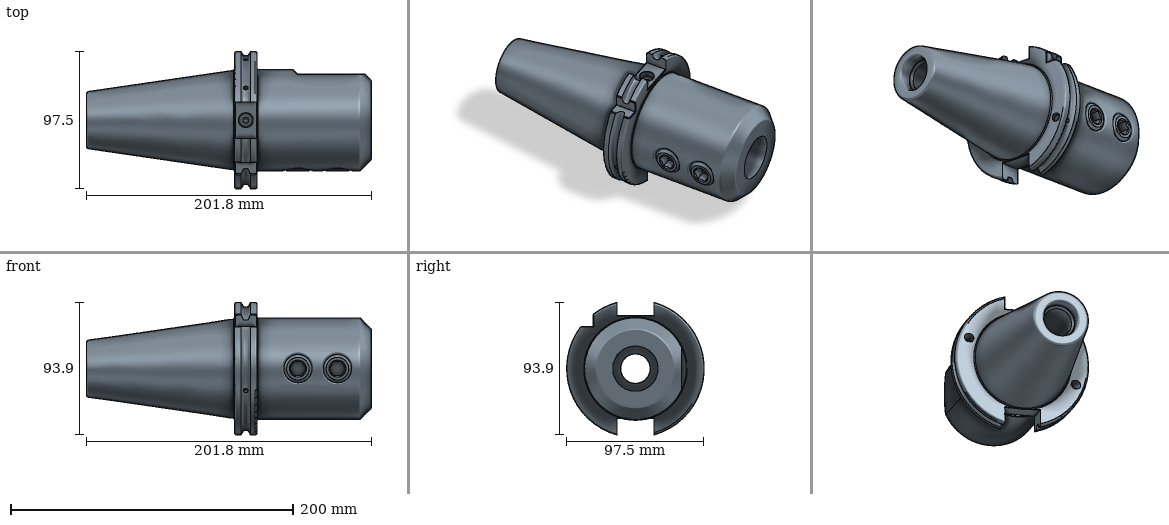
import cadquery as cq
import math


gauge_radius = 69.85 / 2
taper_length = 101.75
taper_slope = 7 / 24 / 2
tail_radius = gauge_radius - taper_length * taper_slope
tail_fillet = 2.0
taper_overrun = 0.5
neck_radius = gauge_radius + taper_overrun * taper_slope
neck_fillet = 0.8

flange_radius = 97.45 / 2
flange_front = 19.1
flange_back = 3.2
rim_fillet = 1.5
groove_center = 11.1
groove_floor_radius = 91.25 / 2
groove_opening = 6.8
groove_flank_angle = 30
groove_fillet = 1.4

keyway_width = 26.0
keyway_top_floor = 37.7
keyway_bottom_floor = 35.3
notch_corner = 30.0
cutout_chamfer = 0.5
chip_pocket_diameter = 10.0
chip_pocket_depth = 4.6
chip_pocket_chamfer = 0.25
chip_pilot_diameter = 4.0
chip_pilot_depth = 2.0
drill_tip_angle = 118

coolant_angle = 20
coolant_circle_radius = 41.7
coolant_diameter = 6.0
coolant_tilt = 30
coolant_depth = 7.0
radial_hole_diameter = 3.0
radial_hole_depth = 8.0
radial_hole_angles = (coolant_angle, 60, coolant_angle + 180)

nose_end = 100.0
nose_radius = 36.0
nose_chamfer = 8.0
nose_fillet = 2.0
nose_root_fillet = 0.6
flat_offset = 32.5
flat_start = 47.8

pilot_fillet = 1.5
pilot_radius = 12.5
pilot_depth = 9.0
thread_radius = 10.4
thread_chamfer = 1.7
shank_bore_radius = 16.0
shank_bore_depth = 66.0

screw_positions = (48.0, 76.0)
screw_radius = 10.0
screw_length = 20.0
screw_face = 35.9
screw_chamfer = 2.0
socket_flats = 10.0
socket_depth = 8.0
socket_mouth_radius = 6.0
screw_hole_fillet = 1.2
hex_corner_angle = 30

pick_margin = 0.1
mouth_pick_margin = 1.0
mouth_pick_depth = 3.0


def revolve_about_x(profile):
    """Revolve an XY profile, with y as the radius, around the X axis."""
    return profile.close().revolve(360, (0, 0, 0), (1, 0, 0))


def make_taper_and_nose():
    profile = (
        cq.Workplane("XY")
        .moveTo(-taper_length, 0)
        .lineTo(-taper_length, tail_radius)
        .lineTo(taper_overrun, neck_radius)
        .lineTo(flange_back - neck_fillet, neck_radius)
        .radiusArc((flange_back, neck_radius + neck_fillet), neck_fillet)
        .lineTo(flange_back, neck_radius)
        .lineTo(flange_front, neck_radius)
        .lineTo(flange_front, nose_radius + nose_root_fillet)
        .radiusArc((flange_front + nose_root_fillet, nose_radius), -nose_root_fillet)
        .lineTo(nose_end - nose_chamfer, nose_radius)
        .lineTo(nose_end, nose_radius - nose_chamfer)
        .lineTo(nose_end, 0)
    )
    body = revolve_about_x(profile)
    body = body.faces("<X").edges().fillet(tail_fillet)
    chamfer_start = nose_end - nose_chamfer
    pick_radius = nose_radius + pick_margin
    nose_edges = body.faces(">X").edges().add(
        body.edges(cq.selectors.BoxSelector(
            (chamfer_start - pick_margin, -pick_radius, -pick_radius),
            (chamfer_start + pick_margin, pick_radius, pick_radius),
        ))
    )
    return body.newObject(nose_edges.vals()).fillet(nose_fillet)


def cut_balance_flat(body):
    """Flat on the +Y side of the nose, with a 45 degree ramp at its start."""
    ramp = nose_radius - flat_offset
    flat = (
        cq.Workplane("XY")
        .moveTo(flat_start, flat_offset)
        .lineTo(nose_end, flat_offset)
        .lineTo(nose_end, nose_radius + ramp)
        .lineTo(flat_start - 2 * ramp, nose_radius + ramp)
        .close()
        .extrude(nose_radius, both=True)
    )
    return body.cut(flat)


def make_flange():
    half_opening = groove_opening / 2
    groove_depth = flange_radius - groove_floor_radius
    half_floor = half_opening - groove_depth * math.tan(math.radians(groove_flank_angle))
    profile = (
        cq.Workplane("XY")
        .moveTo(flange_back, 0)
        .lineTo(flange_back, flange_radius)
        .lineTo(groove_center - half_opening, flange_radius)
        .lineTo(groove_center - half_floor, groove_floor_radius)
        .lineTo(groove_center + half_floor, groove_floor_radius)
        .lineTo(groove_center + half_opening, flange_radius)
        .lineTo(flange_front, flange_radius)
        .lineTo(flange_front, 0)
    )
    flange = revolve_about_x(profile)
    floor_edges = flange.edges(cq.selectors.BoxSelector(
        (groove_center - half_floor - pick_margin, -flange_radius, -flange_radius),
        (groove_center + half_floor + pick_margin, flange_radius, flange_radius),
    )).edges("%CIRCLE")
    flange = flange.newObject(floor_edges.vals()).fillet(groove_fillet)
    return flange.faces("<X or >X").edges().fillet(rim_fillet)


def flange_cutter(y_min, y_max, z_min, z_max):
    """Box through the full thickness of the flange."""
    return cq.Workplane("XY").box(
        flange_front - flange_back, y_max - y_min, z_max - z_min, centered=False
    ).translate((flange_back, y_min, z_min))


def cut_keyways_and_notch(flange):
    half = keyway_width / 2
    flange = flange.cut(flange_cutter(-half, half, keyway_top_floor, flange_radius))
    flange = flange.cut(flange_cutter(-half, half, -flange_radius, -keyway_bottom_floor))
    flange = flange.cut(flange_cutter(-flange_radius, -notch_corner, notch_corner, flange_radius))
    floor_edges = flange.faces("<X or >X").edges("|Y")
    notch_wall_edges = flange.faces("<X or >X").edges("|Z").edges("<Y")
    return flange.newObject(floor_edges.vals() + notch_wall_edges.vals()).chamfer(cutout_chamfer)


def drill_with_tip(radius, depth):
    """Drill along -Z from the origin, ending in a conical tip."""
    tip = radius / math.tan(math.radians(drill_tip_angle / 2))
    return (
        cq.Workplane("XZ")
        .polyline([(0, 0), (radius, 0), (radius, -depth), (0, -depth - tip)])
        .close()
        .revolve(360, (0, 0, 0), (0, 1, 0))
    )


def cut_chip_pocket(body):
    """Round pocket with a drilled pilot in the floor of the top keyway."""
    pocket = (
        cq.Workplane("XY")
        .circle(chip_pocket_diameter / 2)
        .extrude(-chip_pocket_depth)
    )
    mouth = (
        cq.Workplane("XY")
        .circle(chip_pocket_diameter / 2 + chip_pocket_chamfer)
        .extrude(-chip_pocket_chamfer, taper=45)
    )
    pilot = drill_with_tip(chip_pilot_diameter / 2, chip_pilot_depth).translate((0, 0, -chip_pocket_depth))
    return body.cut(pocket.union(mouth).union(pilot).translate((groove_center, 0, keyway_top_floor)))


def cut_coolant_holes(flange):
    """Two opposite holes in the back face, leaning toward the spindle axis."""
    overshoot = coolant_diameter
    for angle in (coolant_angle, coolant_angle + 180):
        oblique = (
            cq.Workplane("YZ")
            .workplane(offset=-overshoot)
            .circle(coolant_diameter / 2)
            .extrude(overshoot + coolant_depth)
            .rotate((0, 0, 0), (0, 0, 1), -coolant_tilt)
            .translate((flange_back, coolant_circle_radius, 0))
            .rotate((0, 0, 0), (1, 0, 0), angle)
        )
        keep_flange_side = flange_cutter(-flange_radius, flange_radius, -flange_radius, flange_radius)
        flange = flange.cut(oblique.intersect(keep_flange_side))
    return flange


def cut_radial_holes(flange):
    """Holes drilled toward the axis from the floor of the gripper groove."""
    depth_from_rim = flange_radius - groove_floor_radius + radial_hole_depth
    for angle in radial_hole_angles:
        hole = (
            drill_with_tip(radial_hole_diameter / 2, depth_from_rim)
            .translate((groove_center, 0, flange_radius))
            .rotate((0, 0, 0), (1, 0, 0), angle - 90)
        )
        flange = flange.cut(hole)
    return flange


def cut_axial_bores(body):
    """Draw-bar pilot and thread bore from the tail, shank bore from the nose."""
    tail = -taper_length
    pilot_end = tail + pilot_depth
    shank_bore_end = nose_end - shank_bore_depth
    profile = (
        cq.Workplane("XY")
        .moveTo(tail, 0)
        .lineTo(tail, pilot_radius + pilot_fillet)
        .radiusArc((tail + pilot_fillet, pilot_radius), -pilot_fillet)
        .lineTo(pilot_end, pilot_radius)
        .lineTo(pilot_end, thread_radius + thread_chamfer)
        .lineTo(pilot_end + thread_chamfer, thread_radius)
        .lineTo(shank_bore_end, thread_radius)
        .lineTo(shank_bore_end, shank_bore_radius)
        .lineTo(nose_end, shank_bore_radius)
        .lineTo(nose_end, 0)
    )
    return body.cut(revolve_about_x(profile))


def cut_screw_holes(body):
    """Clamp screw holes from the -Y side, with rounded mouths."""
    box_half = screw_radius + mouth_pick_margin
    for x in screw_positions:
        hole = (
            cq.Workplane("XZ", origin=(x, 0, 0))
            .circle(screw_radius)
            .extrude(nose_radius)
        )
        body = body.cut(hole)
        mouth = body.edges(cq.selectors.BoxSelector(
            (x - box_half, -nose_radius - mouth_pick_margin, -box_half),
            (x + box_half, -nose_radius + mouth_pick_depth, box_half),
        ))
        body = body.newObject(mouth.vals()).fillet(screw_hole_fillet)
    return body


def make_holder():
    flange = cut_keyways_and_notch(make_flange())
    flange = cut_coolant_holes(flange)
    flange = cut_radial_holes(flange)
    body = cut_balance_flat(make_taper_and_nose())
    body = cut_screw_holes(body)
    body = body.union(flange)
    body = cut_chip_pocket(body)
    return cut_axial_bores(body)


def make_clamp_screw(x):
    """Socket set screw along Y, with its driven end toward -Y."""
    screw = (
        cq.Workplane("XZ", origin=(x, screw_length - screw_face, 0))
        .circle(screw_radius)
        .extrude(screw_length)
        .faces("<Y")
        .chamfer(screw_chamfer)
    )
    socket_corners = socket_flats / math.cos(math.radians(hex_corner_angle))
    socket = (
        cq.Workplane("XZ", origin=(x, socket_depth - screw_face, 0))
        .polygon(6, socket_corners)
        .extrude(socket_depth)
    )
    mouth = cq.Workplane("XY").add(cq.Solid.makeCone(
        socket_mouth_radius, 0, socket_mouth_radius,
        pnt=cq.Vector(x, -screw_face, 0), dir=cq.Vector(0, 1, 0),
    ))
    return screw.cut(socket).cut(mouth)


holder = make_holder()
clamp_screws = [make_clamp_screw(x) for x in screw_positions]

result = cq.Compound.makeCompound([holder.val(), *[screw.val() for screw in clamp_screws]])